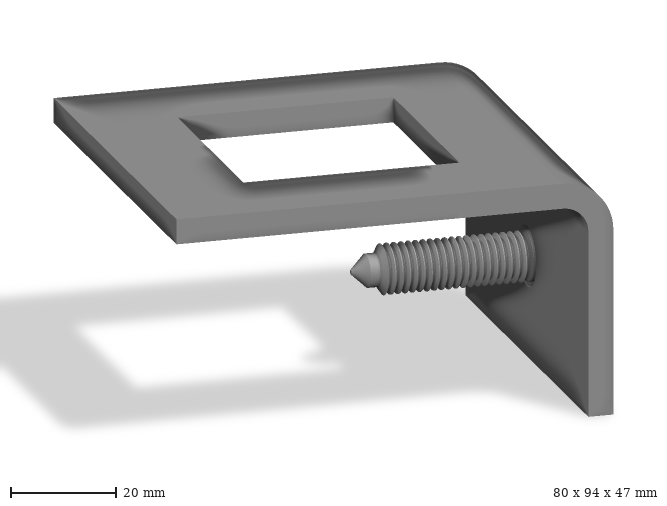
import cadquery as cq
import math


width = 80.0
height = 47.0
overall_length = 94.0
head_height = 7.05
plate_length = overall_length - head_height
thickness = 5.0
inner_bend_radius = 5.1
outer_bend_radius = inner_bend_radius + thickness

window_side = 43.0
window_back_gap = 25.0

screw_height = 20.0
thread_radius = 5.0
countersink_radius = 6.0
countersink_depth = countersink_radius - thread_radius

hex_across_flats = 13.0
hex_across_corners = hex_across_flats / math.cos(math.radians(30))
hex_turn = 33.5
head_chamfer_angle = 30
head_chamfer_height = (
    (hex_across_corners - hex_across_flats) / 2 * math.tan(math.radians(head_chamfer_angle))
)

groove_count = 20
first_groove_depth = 5.8
last_groove_depth = 33.3
pitch = (last_groove_depth - first_groove_depth) / (groove_count - 1)
thread_flank_angle = 30
root_flat = pitch / 8
crest_flat = pitch / 8
groove_mouth = pitch - crest_flat
groove_height = (groove_mouth - root_flat) / 2 / math.tan(math.radians(thread_flank_angle))
root_radius = thread_radius - groove_height

dog_radius = 3.3
dog_start = 35.1
dog_end = 37.0
tip_radius = 0.5
screw_length = 40.0


def make_bracket():
    """Bent plate with a square window and a countersunk screw hole."""
    plate = (
        cq.Workplane("YZ")
        .polyline([
            (0, 0),
            (0, height),
            (-plate_length, height),
            (-plate_length, height - thickness),
            (-thickness, height - thickness),
            (-thickness, 0),
        ])
        .close()
        .extrude(width / 2, both=True)
    )
    plate = plate.edges("|X and >Y and >Z").fillet(outer_bend_radius)
    inner_corner = cq.NearestToPointSelector((0, -thickness, height - thickness))
    plate = plate.edges(inner_corner).fillet(inner_bend_radius)

    window = (
        cq.Workplane("XY", origin=(0, -window_back_gap - window_side / 2, 0))
        .rect(window_side, window_side)
        .extrude(height)
    )

    hole = (
        cq.Workplane("XY")
        .polyline([
            (0, 0),
            (thread_radius, 0),
            (thread_radius, countersink_depth - thickness),
            (countersink_radius, -thickness),
            (0, -thickness),
        ])
        .close()
        .revolve(360, (0, 0), (0, 1))
        .translate((0, 0, screw_height))
    )
    return plate.cut(window).cut(hole)


def make_head():
    """Hexagon head on +Y with its outer corners turned down to a cone."""
    hexagon = (
        cq.Workplane("XZ")
        .polygon(6, hex_across_corners)
        .extrude(-head_height)
        .rotate((0, 0, 0), (0, -1, 0), hex_turn)
    )
    turned_blank = (
        cq.Workplane("XY")
        .polyline([
            (0, 0),
            (hex_across_corners / 2, 0),
            (hex_across_corners / 2, head_height - head_chamfer_height),
            (hex_across_flats / 2, head_height),
            (0, head_height),
        ])
        .close()
        .revolve(360, (0, 0), (0, 1))
    )
    return hexagon.intersect(turned_blank)


def make_shank():
    """Shank toward -Y: plain in the hole, then grooved, then a dog and a pointed tip."""
    outline = [(0, 0), (thread_radius, 0)]
    for index in range(groove_count):
        centre = first_groove_depth + index * pitch
        outline += [
            (thread_radius, -centre + groove_mouth / 2),
            (root_radius, -centre + root_flat / 2),
            (root_radius, -centre - root_flat / 2),
            (thread_radius, -centre - groove_mouth / 2),
        ]
    outline += [
        (dog_radius, -dog_start),
        (dog_radius, -dog_end),
        (tip_radius, -screw_length),
        (0, -screw_length),
    ]
    return cq.Workplane("XY").polyline(outline).close().revolve(360, (0, 0), (0, 1))


def make_screw():
    """Hexagon-head screw with its head against the upright leg."""
    return make_head().union(make_shank()).translate((0, 0, screw_height))


bracket = make_bracket()
screw = make_screw()

result = cq.Compound.makeCompound([bracket.solids().val(), screw.solids().val()])